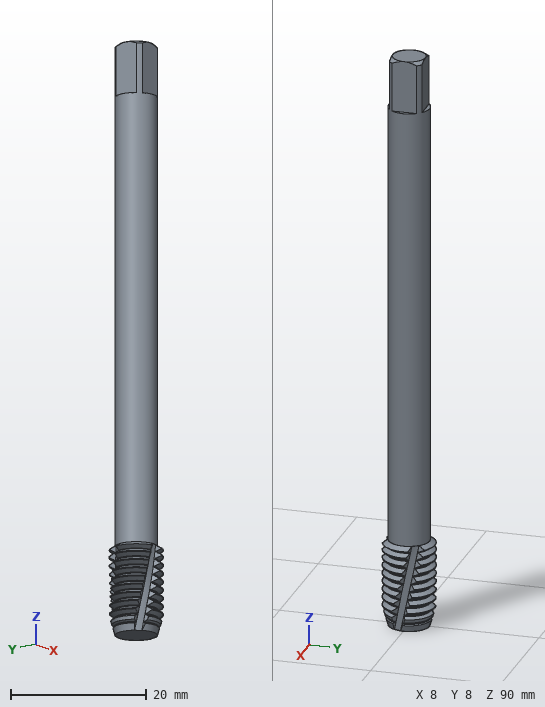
import cadquery as cq

TOTAL_LENGTH = 90.0
THREAD_DIAMETER = 8.0
THREAD_RADIUS = THREAD_DIAMETER / 2

SHANK_RADIUS = 3.15
SQUARE_WIDTH = 5.0
SQUARE_HEIGHT = 8.0
TOP_FACE_RADIUS = 2.5
TOP_CHAMFER_HEIGHT = 0.45

HEAD_LENGTH = 13.5
SHOULDER_HEIGHT = 0.5
ROOT_RADIUS = 3.2
RING_COUNT = 10
UPPER_CREST_Z = 11.9
LOWER_CREST_Z = 0.6
PITCH = (UPPER_CREST_Z - LOWER_CREST_Z) / (RING_COUNT - 1)
CREST_WIDTH = PITCH / 8
RING_BASE_WIDTH = PITCH * 7 / 8
FLANK_HEIGHT = (RING_BASE_WIDTH - CREST_WIDTH) / 2
LEAD_RADIUS = 3.15
LEAD_HEIGHT = 2.9

FLUTE_COUNT = 3
FLUTE_TOP_ANGLE = -86.0
FLUTE_TWIST = 52.0
FLUTE_FLOOR_RADIUS = 3.1
FLUTE_FLOOR_WIDTH = 1.1
FLUTE_MOUTH_WIDTH = 3.1
FLUTE_OVERCUT = 0.1
FLUTE_MOUTH_RADIUS = THREAD_RADIUS + FLUTE_OVERCUT


def revolve_about_z(profile):
    """Solid of revolution from a closed list of (radius, height) points."""
    return cq.Workplane("XZ").polyline(profile).close().revolve(360, (0, 0), (0, 1))


def make_shank():
    """Round shank whose upper end is milled to a square with a chamfered tip."""
    bar_profile = [
        (0, HEAD_LENGTH),
        (SHANK_RADIUS, HEAD_LENGTH),
        (SHANK_RADIUS, TOTAL_LENGTH - TOP_CHAMFER_HEIGHT),
        (TOP_FACE_RADIUS, TOTAL_LENGTH),
        (0, TOTAL_LENGTH),
    ]
    round_bar = revolve_about_z(bar_profile)

    flats = (
        cq.Workplane("XY", origin=(0, 0, TOTAL_LENGTH - SQUARE_HEIGHT))
        .circle(2 * SHANK_RADIUS)
        .rect(SQUARE_WIDTH, SQUARE_WIDTH)
        .extrude(SQUARE_HEIGHT)
    )
    return round_bar.cut(flats)


def make_threaded_core():
    """Core with parallel thread rings, closed by a shoulder ring that slopes up to the shank."""
    profile = [(0, 0), (ROOT_RADIUS, 0)]
    for ring in range(RING_COUNT):
        crest_z = LOWER_CREST_Z + ring * PITCH
        profile += [
            (ROOT_RADIUS, crest_z - RING_BASE_WIDTH / 2),
            (THREAD_RADIUS, crest_z - CREST_WIDTH / 2),
            (THREAD_RADIUS, crest_z + CREST_WIDTH / 2),
            (ROOT_RADIUS, crest_z + RING_BASE_WIDTH / 2),
        ]
    shoulder_z = HEAD_LENGTH - SHOULDER_HEIGHT
    profile += [
        (ROOT_RADIUS, shoulder_z - FLANK_HEIGHT),
        (THREAD_RADIUS, shoulder_z),
        (SHANK_RADIUS, HEAD_LENGTH),
        (0, HEAD_LENGTH),
    ]
    return revolve_about_z(profile)


def make_lead_envelope():
    """Solid that bounds the head: tapered at the cutting end, cylindrical above."""
    return revolve_about_z([
        (0, 0),
        (LEAD_RADIUS, 0),
        (THREAD_RADIUS, LEAD_HEIGHT),
        (THREAD_RADIUS, HEAD_LENGTH),
        (0, HEAD_LENGTH),
    ])


def make_flute(index):
    """Cutter for one flute: a trapezoid that twists about the axis as it rises."""
    bottom_angle = FLUTE_TOP_ANGLE - FLUTE_TWIST + index * 360 / FLUTE_COUNT
    section = [
        (FLUTE_FLOOR_RADIUS, -FLUTE_FLOOR_WIDTH / 2),
        (FLUTE_MOUTH_RADIUS, -FLUTE_MOUTH_WIDTH / 2),
        (FLUTE_MOUTH_RADIUS, FLUTE_MOUTH_WIDTH / 2),
        (FLUTE_FLOOR_RADIUS, FLUTE_FLOOR_WIDTH / 2),
    ]
    return (
        cq.Workplane("XY")
        .polyline(section)
        .close()
        .twistExtrude(HEAD_LENGTH, FLUTE_TWIST)
        .rotate((0, 0, 0), (0, 0, 1), bottom_angle)
    )


def make_head():
    """Threaded head with its lead taper and flutes cut."""
    head = make_threaded_core().intersect(make_lead_envelope())
    for index in range(FLUTE_COUNT):
        head = head.cut(make_flute(index))
    return head


shank = make_shank()
head = make_head()

result = cq.Compound.makeCompound([shank.val(), head.val()])